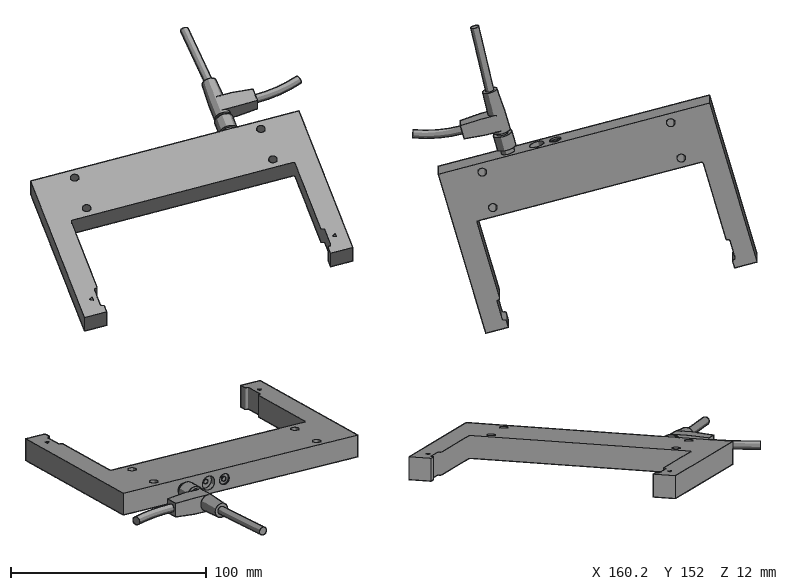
import cadquery as cq
import math

HOUSING_LENGTH = 90.0
HOUSING_WIDTH = 144.0
THICKNESS = 12.0
BAR_WIDTH = 30.0
ARM_WIDTH = 12.0
INNER_CORNER_RADIUS = 1.0

NOTCH_LENGTH = 11.2
NOTCH_DEPTH = 1.8
NOTCH_FROM_TIP = 4.5
NOTCH_ROUNDING = 0.8

MOUNT_HOLE_DIA = 4.3
MOUNT_HOLE_INSET = 5.0
MOUNT_SPACING_X = 20.0
MOUNT_SPACING_Y = 100.0

MARK_SIDE = 2.1
MARK_DEPTH = 0.2
MARK_FROM_TIP = 10.1
MARK_OFFSET = 65.2

ADJUSTER_Y = 19.7
ADJUSTER_DIA = 7.5
ADJUSTER_DEPTH = 3.0
ADJUSTER_STUD_DIA = 2.5
INDICATOR_Y = 10.0
INDICATOR_DIA = 6.0
INDICATOR_DEPTH = 1.0
INDICATOR_STUD_DIA = 2.5
STUD_HEIGHT = 0.6

PLUG_Y = 35.0
STUB_DIA = 7.0
NUT_DIA = 10.0
NECK_DIA = 6.0
BODY_DIA = 9.0
TAIL_DIA = 7.7
STUB_LENGTH = 2.7
NUT_LENGTH = 7.7
NECK_LENGTH = 1.5
BODY_LENGTH = 10.3
TAIL_LENGTH = 12.7
NUT_X = -STUB_LENGTH
NECK_X = NUT_X - NUT_LENGTH
BODY_X = NECK_X - NECK_LENGTH
TAIL_X = BODY_X - BODY_LENGTH
TAIL_END_X = TAIL_X - TAIL_LENGTH
BRANCH_X = -18.0
BRANCH_STRAIGHT = 8
BRANCH_LENGTH = 19.4
BRANCH_TIP = 7.5

CABLE_DIA = 4.3
STRAIGHT_CABLE_END_X = -70.2
STRAIGHT_CABLE_DROP = 2.0
BENT_CABLE_RADIUS = 67.8
BENT_CABLE_ANGLE = 21.5


def back_face_disc(y, diameter, start_x, length):
    """Disc along X, starting at depth start_x from the back face of the housing."""
    return cq.Workplane("YZ", origin=(start_x, y, 0)).circle(diameter / 2).extrude(length)


def studded_recess(y, diameter, depth, stud_diameter):
    """Cutter for a round recess that leaves a low stud standing on its floor."""
    recess = back_face_disc(y, diameter, 0, depth)
    return recess.cut(back_face_disc(y, stud_diameter, depth - STUD_HEIGHT, STUD_HEIGHT))


def arm_opening():
    """Cutter for the space between the arms, widened by the rounded optics notches."""
    gap_width = HOUSING_WIDTH - 2 * ARM_WIDTH
    notch_start = HOUSING_LENGTH - NOTCH_FROM_TIP - NOTCH_LENGTH
    gap = (
        cq.Workplane("XY", origin=(BAR_WIDTH, 0, 0))
        .box(HOUSING_LENGTH - BAR_WIDTH, gap_width, THICKNESS, centered=(False, True, True))
        .edges("|Z and <X")
        .fillet(INNER_CORNER_RADIUS)
    )
    notches = (
        cq.Workplane("XY", origin=(notch_start, 0, 0))
        .box(NOTCH_LENGTH, gap_width + 2 * NOTCH_DEPTH, THICKNESS, centered=(False, True, True))
    )
    opening = gap.union(notches)
    notch_edges = cq.selectors.BoxSelector(
        (notch_start - NOTCH_ROUNDING, -HOUSING_WIDTH / 2, -THICKNESS),
        (notch_start + NOTCH_LENGTH + NOTCH_ROUNDING, HOUSING_WIDTH / 2, THICKNESS),
    )
    return opening.edges("|Z").edges(notch_edges).fillet(NOTCH_ROUNDING)


def make_housing():
    body = cq.Workplane("XY").box(HOUSING_LENGTH, HOUSING_WIDTH, THICKNESS, centered=(False, True, True))
    mount_holes = (
        cq.Workplane("XY", origin=(MOUNT_HOLE_INSET + MOUNT_SPACING_X / 2, 0, -THICKNESS / 2))
        .rarray(MOUNT_SPACING_X, MOUNT_SPACING_Y, 2, 2)
        .circle(MOUNT_HOLE_DIA / 2)
        .extrude(THICKNESS)
    )
    body = body.cut(arm_opening()).cut(mount_holes)
    body = body.cut(studded_recess(ADJUSTER_Y, ADJUSTER_DIA, ADJUSTER_DEPTH, ADJUSTER_STUD_DIA))
    body = body.cut(studded_recess(INDICATOR_Y, INDICATOR_DIA, INDICATOR_DEPTH, INDICATOR_STUD_DIA))
    for side in (-1, 1):
        body = body.cut(arrow_mark(side * MARK_OFFSET))
    return body


def arrow_mark(y):
    """Cutter for a shallow equilateral triangle in the top face, centred on y."""
    height = MARK_SIDE * math.sqrt(3) / 2
    return (
        cq.Workplane("XY", origin=(HOUSING_LENGTH - MARK_FROM_TIP, y, THICKNESS / 2))
        .polyline([(-MARK_SIDE / 2, height / 2), (MARK_SIDE / 2, height / 2), (0, -height / 2)])
        .close()
        .extrude(-MARK_DEPTH)
    )


def make_plug():
    turned = (
        cq.Workplane("XY", origin=(0, PLUG_Y, 0))
        .moveTo(0, 0)
        .lineTo(0, STUB_DIA / 2)
        .lineTo(NUT_X, STUB_DIA / 2)
        .lineTo(NUT_X, NUT_DIA / 2)
        .lineTo(NECK_X, NUT_DIA / 2)
        .lineTo(NECK_X, NECK_DIA / 2)
        .lineTo(BODY_X, NECK_DIA / 2)
        .lineTo(BODY_X, BODY_DIA / 2)
        .lineTo(TAIL_X, BODY_DIA / 2)
        .lineTo(TAIL_END_X, TAIL_DIA / 2)
        .lineTo(TAIL_END_X, 0)
        .close()
        .revolve(360, (0, 0, 0), (1, 0, 0))
    )
    branch = (
        cq.Workplane("XZ", origin=(BRANCH_X, PLUG_Y, 0))
        .rect(BODY_DIA, BODY_DIA)
        .extrude(-BRANCH_STRAIGHT)
    )
    branch_tip = (
        cq.Workplane("XZ", origin=(BRANCH_X, PLUG_Y + BRANCH_STRAIGHT, 0))
        .rect(BODY_DIA, BODY_DIA)
        .workplane(offset=BRANCH_STRAIGHT - BRANCH_LENGTH)
        .rect(BRANCH_TIP, BRANCH_TIP)
        .loft(ruled=True)
    )
    return turned.union(branch).union(branch_tip)


def make_straight_cable():
    path = (
        cq.Workplane("XY")
        .moveTo(TAIL_END_X, PLUG_Y)
        .lineTo(STRAIGHT_CABLE_END_X, PLUG_Y - STRAIGHT_CABLE_DROP)
    )
    return cq.Workplane("YZ", origin=(TAIL_END_X, PLUG_Y, 0)).circle(CABLE_DIA / 2).sweep(path)


def make_bent_cable():
    """Cable leaving the branch toward +Y and bending toward -X."""
    return (
        cq.Workplane("XZ", origin=(BRANCH_X, PLUG_Y + BRANCH_LENGTH, 0))
        .circle(CABLE_DIA / 2)
        .revolve(BENT_CABLE_ANGLE, (-BENT_CABLE_RADIUS, 0, 0), (-BENT_CABLE_RADIUS, 1, 0))
    )


housing = make_housing()
plug = make_plug()
straight_cable = make_straight_cable()
bent_cable = make_bent_cable()

result = cq.Compound.makeCompound([
    housing.val(),
    plug.val(),
    straight_cable.val(),
    bent_cable.val(),
])